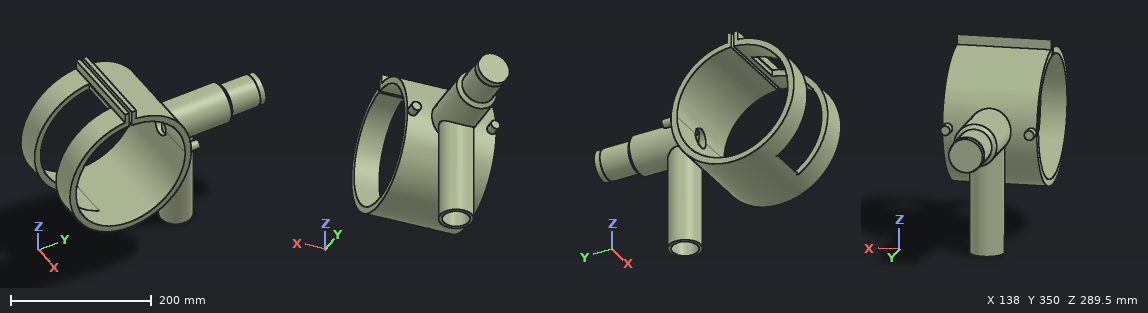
import cadquery as cq

ring_width = 138.0
ring_outer_radius = 100.0
wall = 10.0
ring_inner_radius = ring_outer_radius - wall

flange_top = 114.5
flange_thickness = 7.0
slit_width = 4.2
flange_span = slit_width + 2 * flange_thickness

window_width = 60.0
window_bottom = -85.0
window_edge_y = -10.0

overall_length = 350.0
arm_end = overall_length - ring_outer_radius
arm_radius = 31.0
spigot_diameter = 50.0
spigot_radius = spigot_diameter / 2
shoulder_end = 194.0
shoulder_chamfer = 5.2
bore_radius = 15.0

cap_radius = 24.5
cap_length = 9.8
spigot_end = arm_end - cap_length

leg_y = 115.0
leg_diameter = 50.0
leg_radius = leg_diameter / 2
leg_bore_radius = 20.0
leg_bottom = -175.0

peg_radius = 7.0
peg_end = 115.5
peg_inset = 7.7
peg_x = ring_width / 2 - peg_inset


def cylinder_along_x(radius, length):
    """Cylinder on the X axis, centred at the origin."""
    return cq.Workplane("YZ", origin=(-length / 2, 0, 0)).circle(radius).extrude(length)


def cylinder_along_y(radius, start, end, x=0):
    """Cylinder at height zero, running in +Y from start to end."""
    return cq.Workplane("XZ", origin=(x, start, 0)).circle(radius).extrude(start - end)


def cylinder_along_z(radius, bottom, top):
    """Cylinder on the leg axis, running in +Z from bottom to top."""
    return cq.Workplane("XY", origin=(0, leg_y, bottom)).circle(radius).extrude(top - bottom)


def block(width, depth, bottom, top):
    """Box centred in X and Y between two heights."""
    return cq.Workplane("XY", origin=(0, 0, bottom)).rect(width, depth).extrude(top - bottom)


def make_window():
    """Cutter for the window, reaching from its upper edge out past the -Y side."""
    depth = ring_outer_radius + window_edge_y
    height = ring_outer_radius - window_bottom
    return cq.Workplane("XY").box(window_width, depth, height, centered=(True, False, False)).translate(
        (0, -ring_outer_radius, window_bottom)
    )


def make_arm():
    """Arm with a conical shoulder down to its spigot."""
    cone_start = shoulder_end - shoulder_chamfer
    return (
        cq.Workplane("XY")
        .moveTo(0, 0)
        .lineTo(arm_radius, 0)
        .lineTo(arm_radius, cone_start)
        .lineTo(spigot_radius, shoulder_end)
        .lineTo(spigot_radius, spigot_end)
        .lineTo(0, spigot_end)
        .close()
        .revolve(360, (0, 0, 0), (0, 1, 0))
    )


def make_clamp():
    """Ring, flanges, arm, leg and pegs as one hollowed body."""
    clamp = cylinder_along_x(ring_outer_radius, ring_width)
    clamp = clamp.union(block(ring_width, flange_span, 0, flange_top))
    clamp = clamp.union(make_arm())
    clamp = clamp.union(cylinder_along_z(leg_radius, leg_bottom, 0))
    for x in (-peg_x, peg_x):
        clamp = clamp.union(cylinder_along_y(peg_radius, ring_inner_radius, peg_end, x))

    clamp = clamp.cut(cylinder_along_x(ring_inner_radius, ring_width))
    clamp = clamp.cut(block(ring_width, slit_width, 0, flange_top))
    clamp = clamp.cut(make_window())

    clamp = clamp.cut(cylinder_along_y(bore_radius, 0, spigot_end))
    return clamp.cut(cylinder_along_z(leg_bore_radius, leg_bottom, leg_bore_radius))


def make_cap():
    """Plain disc on the end of the spigot."""
    return cylinder_along_y(cap_radius, spigot_end, arm_end)


clamp = make_clamp()
cap = make_cap()
result = cq.Compound.makeCompound([clamp.solids().val(), cap.val()])